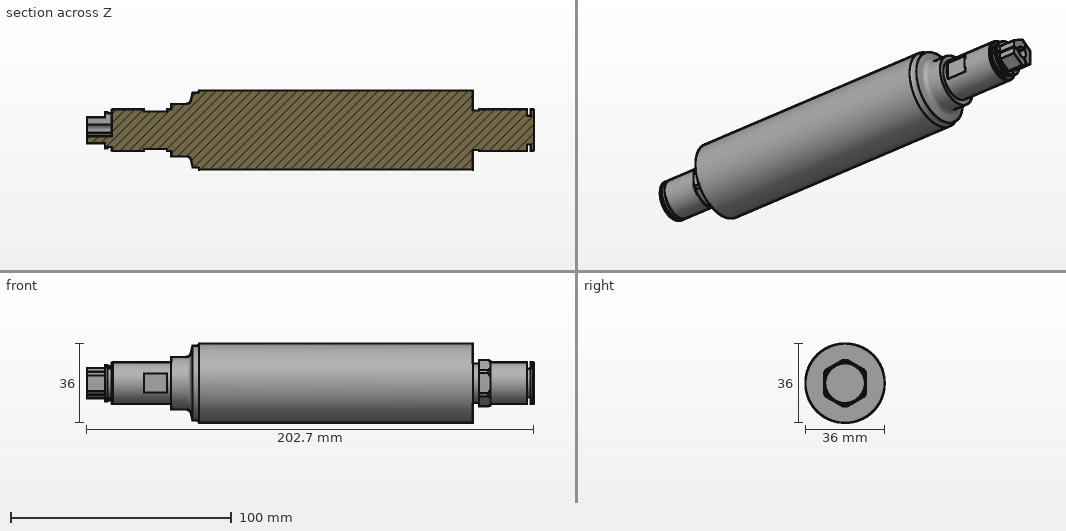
import cadquery as cq
import math


total_length = 202.7
nose_end = 8.1
ring_end = 9.3
shaft_start = 11.1
collar_start = 38.1
collar_end = 45.0
flare_end = 47.0
flange_start = 47.8
flange_end = 49.9
body_start = 50.9
body_end = 175.0
nut_start = 177.5
nut_end = 182.8
fitting_end = 199.5
cap_start = 201.0

bore_dia = 5.3
ring_dia = 16.5
ring_neck_dia = 15.6
shaft_dia = 19.0
collar_dia = 24.0
collar_flare_dia = 26.8
flange_dia = 34.0
body_dia = 36.0
rear_neck_dia = 18.0
fitting_dia = 19.0
cap_neck_dia = 13.2
cap_dia = 19.0

shaft_face_dia = 18.5
shaft_chamfer = 0.6
cap_chamfer = 0.5

nose_flats = 12.0
nut_flats = 19.0
nut_corner_dia = 21.0
nut_bevel_length = 0.5
nut_bevel_drop = 1.0

slit_width = 0.5
slit_count = 3
wrench_start = 26.0
wrench_end = 36.3
wrench_flats = 17.0


def cylinder(start, end, diameter):
    """Cylinder around the X axis between two axial positions."""
    return cq.Workplane("YZ").workplane(offset=start).circle(diameter / 2).extrude(end - start)


def hexagon(start, end, flats):
    """Hexagonal prism on the X axis with corners on +Z and -Z."""
    corner_dia = flats / math.cos(math.pi / 6)
    return (
        cq.Workplane("YZ")
        .workplane(offset=start)
        .transformed(rotate=(0, 0, 90))
        .polygon(6, corner_dia)
        .extrude(end - start)
    )


def make_front_end():
    """Seating ring, narrow neck and chamfered shaft behind the collet nose."""
    ring = cylinder(nose_end, ring_end, ring_dia)
    neck = cylinder(ring_end, shaft_start, ring_neck_dia)
    shaft_edge_drop = (shaft_dia - shaft_face_dia) / 2
    shaft = cylinder(shaft_start, collar_start, shaft_dia).faces("<X").chamfer(shaft_chamfer, shaft_edge_drop)
    return ring.union(neck).union(shaft)


def make_housing():
    """Collar flaring into the slightly conical flange face; the flange curves up to the main body."""
    collar_r = collar_dia / 2
    flare_r = collar_flare_dia / 2
    flange_r = flange_dia / 2
    body_r = body_dia / 2
    return (
        cq.Workplane("XY")
        .moveTo(collar_start, 0)
        .lineTo(collar_start, collar_r)
        .lineTo(collar_end, collar_r)
        .tangentArcPoint((flare_end, flare_r), relative=False)
        .lineTo(flange_start, flange_r)
        .lineTo(flange_end, flange_r)
        .tangentArcPoint((body_start, body_r), relative=False)
        .lineTo(body_end, body_r)
        .lineTo(body_end, 0)
        .close()
        .revolve(360, (0, 0, 0), (1, 0, 0))
    )


def make_nut():
    """Hexagonal nut with its corners turned down and its rear edge bevelled."""
    blank = cylinder(nut_start, nut_end, nut_corner_dia).faces(">X").chamfer(nut_bevel_drop, nut_bevel_length)
    return hexagon(nut_start, nut_end, nut_flats).intersect(blank)


def make_rear_fitting():
    """Neck, nut, hose fitting and release cap behind the body."""
    neck = cylinder(body_end, nut_start, rear_neck_dia)
    fitting = cylinder(nut_end, fitting_end, fitting_dia)
    cap_neck = cylinder(fitting_end, cap_start, cap_neck_dia)
    cap = cylinder(cap_start, total_length, cap_dia).faces(">X").chamfer(cap_chamfer)
    return neck.union(make_nut()).union(fitting).union(cap_neck).union(cap)


def make_slits():
    """Radial slits, evenly spaced from +Y, that split the collet back to the shaft."""
    slit = cq.Workplane("XY").box(shaft_start, ring_dia, slit_width, centered=(False, False, True))
    slits = cq.Workplane("XY")
    for index in range(slit_count):
        slits = slits.add(slit.rotate((0, 0, 0), (1, 0, 0), index * 360 / slit_count))
    return slits.combine()


def make_wrench_cuts():
    """Blocks outside the two wrench flats on the -Y and +Y sides of the shaft."""
    length = wrench_end - wrench_start
    middle = (wrench_start + wrench_end) / 2
    block = cq.Workplane("XY").box(length, shaft_dia, shaft_dia)
    offset = (wrench_flats + shaft_dia) / 2
    return block.translate((middle, offset, 0)).union(block.translate((middle, -offset, 0)))


nose = hexagon(0, nose_end, nose_flats)
bore = cylinder(0, shaft_start, bore_dia)
front_end = nose.union(make_front_end()).cut(bore).cut(make_slits()).cut(make_wrench_cuts())
result = front_end.union(make_housing()).union(make_rear_fitting())